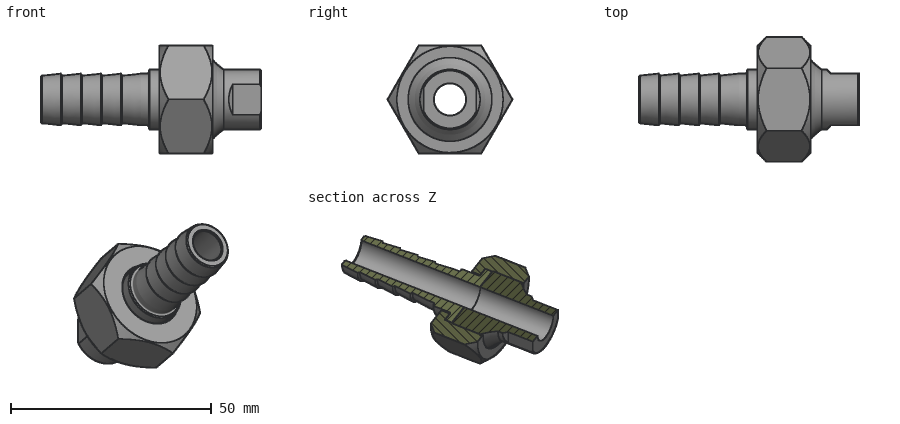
import cadquery as cq
import math

total_length = 55.0

bore_radius = 8.0 / 2
bore_mouth_radius = 8.6 / 2

barb_count = 5
barb_pitch = 5.0
barb_tip_x = 4.95
barb_crest_radius = 13.0 / 2
barb_root_radius = 6.0
barb_back_length = 0.4
tip_chamfer = 0.35

collar_x = 26.9
collar_radius = 15.0 / 2
collar_chamfer = 0.35
collar_fillet = 0.3

nut_x = 29.55
nut_length = 13.4
nut_across_flats = 27.0
nut_face_radius = 13.25
nut_lip_length = 2.4
nut_lip_hole_radius = 15.5 / 2
nut_lip_hole_chamfer = 0.3
nut_bore_radius = 20.9 / 2
hose_flange_length = 2.2

cone_break_x = 43.95
cone_break_radius = 8.8
cone_foot_x = 45.2
cone_foot_radius = 15.5 / 2
spigot_x = 45.6
spigot_radius = collar_radius
spigot_chamfer = 0.35
flat_half_width = barb_crest_radius
flat_x = 47.9

lip_inner_x = nut_x + nut_lip_length
joint_x = lip_inner_x + hose_flange_length


def revolve_about_x(profile):
    """Revolve a closed (x, radius) profile about the X axis."""
    return profile.close().revolve(360, (0, 0, 0), (1, 0, 0))


def make_hose_tail():
    profile = (
        cq.Workplane("XY")
        .moveTo(bore_mouth_radius - bore_radius, bore_radius)
        .lineTo(0, bore_mouth_radius)
        .lineTo(0, barb_root_radius - tip_chamfer)
        .lineTo(tip_chamfer, barb_root_radius)
    )
    for i in range(barb_count):
        crest_x = barb_tip_x + i * barb_pitch
        profile = profile.lineTo(crest_x, barb_crest_radius)
        if i < barb_count - 1:
            profile = profile.lineTo(crest_x + barb_back_length, barb_root_radius)
    fillet_mid = collar_fillet * math.sqrt(0.5)
    profile = (
        profile.lineTo(collar_x - collar_fillet, barb_crest_radius)
        .threePointArc(
            (collar_x - collar_fillet + fillet_mid, barb_crest_radius + collar_fillet - fillet_mid),
            (collar_x, barb_crest_radius + collar_fillet),
        )
        .lineTo(collar_x, collar_radius - collar_chamfer)
        .lineTo(collar_x + collar_chamfer, collar_radius)
        .lineTo(lip_inner_x, collar_radius)
        .lineTo(lip_inner_x, nut_bore_radius)
        .lineTo(joint_x, nut_bore_radius)
        .lineTo(joint_x, bore_radius)
    )
    return revolve_about_x(profile)


def make_nut():
    corner_radius = nut_across_flats / math.sqrt(3)
    corner_chamfer = corner_radius - nut_face_radius
    nut_end_x = nut_x + nut_length
    hexagon = (
        cq.Workplane("YZ", origin=(nut_x, 0, 0))
        .polygon(6, 2 * corner_radius)
        .extrude(nut_length)
    )
    turned_envelope = revolve_about_x(
        cq.Workplane("XY")
        .moveTo(nut_x, nut_lip_hole_radius + nut_lip_hole_chamfer)
        .lineTo(nut_x, nut_face_radius)
        .lineTo(nut_x + corner_chamfer, corner_radius)
        .lineTo(nut_end_x - corner_chamfer, corner_radius)
        .lineTo(nut_end_x, nut_face_radius)
        .lineTo(nut_end_x, nut_bore_radius)
        .lineTo(lip_inner_x, nut_bore_radius)
        .lineTo(lip_inner_x, nut_lip_hole_radius)
        .lineTo(nut_x + nut_lip_hole_chamfer, nut_lip_hole_radius)
    )
    return hexagon.intersect(turned_envelope)


def make_flat_cutter(side):
    """Wedge-ended block that mills one wrench flat on the +Y or -Y side."""
    flat_depth = spigot_radius - flat_half_width
    return (
        cq.Workplane("XY")
        .moveTo(flat_x, side * flat_half_width)
        .lineTo(flat_x - flat_depth, side * spigot_radius)
        .lineTo(total_length, side * spigot_radius)
        .lineTo(total_length, side * flat_half_width)
        .close()
        .extrude(spigot_radius, both=True)
    )


def make_adapter():
    cone_start_x = cone_break_x - (nut_bore_radius - cone_break_radius)
    adapter = revolve_about_x(
        cq.Workplane("XY")
        .moveTo(joint_x, bore_radius)
        .lineTo(joint_x, nut_bore_radius)
        .lineTo(cone_start_x, nut_bore_radius)
        .lineTo(cone_break_x, cone_break_radius)
        .lineTo(cone_foot_x, cone_foot_radius)
        .tangentArcPoint((spigot_x, spigot_radius), relative=False)
        .lineTo(total_length - spigot_chamfer, spigot_radius)
        .lineTo(total_length, spigot_radius - spigot_chamfer)
        .lineTo(total_length, bore_radius)
    )
    for side in (-1, 1):
        adapter = adapter.cut(make_flat_cutter(side))
    return adapter


hose_tail = make_hose_tail()
nut = make_nut()
adapter = make_adapter()

result = cq.Compound.makeCompound([hose_tail.val(), nut.val(), adapter.val()])